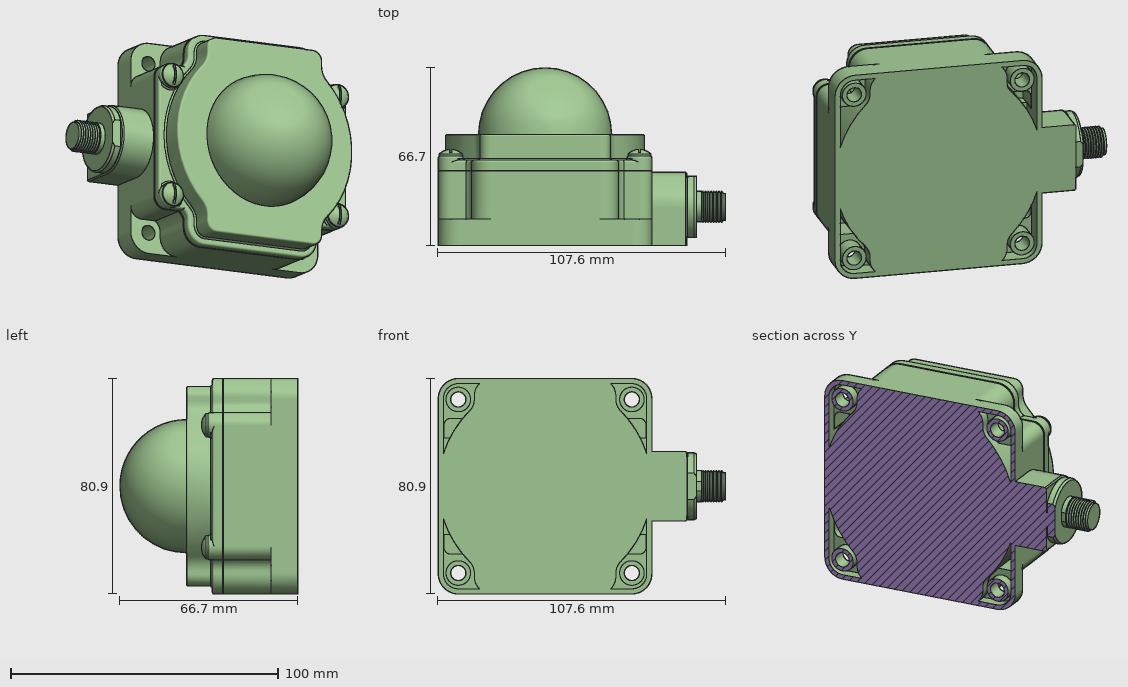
import cadquery as cq
import math

HALF_X = 40.05
HALF_Z = 40.425

FLANGE_DEPTH = 10.0
MOUNT_PITCH = 65.0
MOUNT_HOLE_R = 2.8
MOUNT_BOSS_R = 4.6
MOUNT_BOSS_RECESS = 0.5
FLANGE_CORNER_R = 7.7
RIM = 2.0
POCKET_FLOOR_Y = 8.0
POCKET_WEB_GAP = 6.0
POCKET_END_R = 6.5
EAR_POCKET_Y = 20.0
EAR_POCKET_R = 2.5
EAR_POCKET_END_Z = 18.1
SIDE_POCKET_Y = 15.0

BLOCK_HALF_X = 27.5
BLOCK_CORNER_R = 7.0
NECK_R = 4.6
EAR_HALF_Z = 27.6
EAR_R = 4.7
SEAM_Y = 27.9
SEAM_WIDTH = 0.25
SEAM_DEPTH = 0.3
LID_TOP_Y = 32.05
LID_EDGE_R = 0.9

COVER_INSET = 3.05
COVER_TOP_Y = 41.65
COVER_EDGE_R = 0.7
FOOT_SIZE = 0.65
DOME_R = 25.0

SCREW_SEAT_Y = 33.65
SCREW_SHANK_R = 2.0
SCREW_RIM_Y = 34.3
SCREW_HEAD_R = 4.4
SCREW_TOP_Y = 36.1
SLOT_WIDTH = 0.9
SLOT_DEPTH = 1.2

OUTLET_END_X = 53.1
OUTLET_R = 13.05
OUTLET_AXIS_Y = 14.55
OUTLET_CHAMFER = 0.5
GASKET_R = 11.0
NUT_START_X = 53.35
NUT_END_X = 56.75
NUT_R = 12.6
NUT_FLATS = 23.1
NUT_CHAMFER_LENGTH = 1.0
NUT_CHAMFER_DROP = 0.5
STEM_R = 5.9
KEY_HALF_WIDTH = 1.8
THREAD_START_X = 58.6
THREAD_END_X = 66.6
THREAD_R = 5.9
THREAD_PITCH = 1.0
THREAD_DEPTH = 0.55
TIP_R = 5.1
TIP_LENGTH = 0.94

DIAGONAL = math.sqrt(0.5)
FLARE_MID = math.pi / 8
MOUNT = MOUNT_PITCH / 2
POCKET_ROUND_R = MOUNT / DIAGONAL - POCKET_WEB_GAP
TIP_END_X = THREAD_END_X + TIP_LENGTH
FOOT_BEVEL = 0.99 * FOOT_SIZE
SCREW_X = HALF_X - EAR_R
SCREW_Z = EAR_HALF_Z - EAR_R


def plane_at(y):
    """XZ sketch plane at depth y; extruding by a negative length goes toward +Y."""
    return cq.Workplane(cq.Plane(origin=(0, y, 0), xDir=(1, 0, 0), normal=(0, -1, 0)))


def block(y0, y1, half_x, half_z, corner_r):
    """Rounded rectangular block between two depths."""
    body = plane_at(y0).rect(2 * half_x, 2 * half_z).extrude(y0 - y1)
    return body.edges("|Y").fillet(corner_r)


def disc(y0, y1, x, z, radius):
    """Round bar along Y."""
    return plane_at(y0).center(x, z).circle(radius).extrude(y0 - y1)


def four_fold(body):
    """The body together with its mirror images in the YZ and XY planes."""
    half = body.union(body.mirror("YZ"))
    return half.union(half.mirror("XY"))


def core(y0, y1, inset=0.0):
    """Round housing with a straight-sided block above and below, offset inward by inset."""
    round_r = HALF_Z - inset
    side_x = BLOCK_HALF_X - inset
    corner_r = BLOCK_CORNER_R - inset
    corner_x = side_x - corner_r
    corner_z = round_r - corner_r
    neck_r = NECK_R + inset
    neck_x = side_x + neck_r
    neck_z = math.sqrt((round_r + neck_r) ** 2 - neck_x ** 2)
    meet_angle = math.atan2(neck_z, neck_x)
    neck_mid = math.pi + meet_angle / 2
    quarter = (
        plane_at(y0)
        .lineTo(0, round_r)
        .lineTo(corner_x, round_r)
        .threePointArc((corner_x + corner_r * DIAGONAL, corner_z + corner_r * DIAGONAL), (side_x, corner_z))
        .lineTo(side_x, neck_z)
        .threePointArc(
            (neck_x + neck_r * math.cos(neck_mid), neck_z + neck_r * math.sin(neck_mid)),
            (round_r * math.cos(meet_angle), round_r * math.sin(meet_angle)),
        )
        .threePointArc(
            (round_r * math.cos(meet_angle / 2), round_r * math.sin(meet_angle / 2)),
            (round_r, 0),
        )
        .close()
        .extrude(y0 - y1)
    )
    return four_fold(quarter)


def housing(y0, y1, inset=0.0):
    """Core trimmed to the flange width, with the screw ears added."""
    limit = plane_at(y0).rect(2 * (HALF_X - inset), 2 * HALF_Z).extrude(y0 - y1)
    ears = block(y0, y1, HALF_X - inset, EAR_HALF_Z - inset, EAR_R - inset)
    return core(y0, y1, inset).intersect(limit).union(ears).clean()


def corner_pocket():
    """Pocket behind one flange corner, with the mounting boss left standing."""
    wall_x = HALF_X - RIM
    wall_z = HALF_Z - RIM
    web_x = MOUNT - POCKET_WEB_GAP

    def pocket_area(depth):
        square = plane_at(0).rect(wall_x, wall_z, centered=False).extrude(-depth)
        square = square.edges("|Y and >X and >Z").fillet(wall_x - MOUNT)
        middle = disc(0, depth, 0, 0, POCKET_ROUND_R)
        flare = (
            plane_at(0)
            .moveTo(web_x, MOUNT)
            .lineTo(web_x, wall_z - POCKET_END_R * DIAGONAL)
            .threePointArc(
                (web_x - POCKET_END_R * (1 - math.cos(FLARE_MID)),
                 wall_z - POCKET_END_R * (DIAGONAL - math.sin(FLARE_MID))),
                (web_x - POCKET_END_R * (1 - DIAGONAL), wall_z),
            )
            .lineTo(MOUNT, wall_z)
            .lineTo(MOUNT, MOUNT)
            .close()
            .extrude(-depth)
        )
        around_boss = disc(0, depth, MOUNT, MOUNT, POCKET_WEB_GAP)
        tangent_x = MOUNT - POCKET_WEB_GAP * DIAGONAL
        beyond_web = plane_at(0).center(tangent_x, 0).rect(wall_x, wall_z, centered=False).extrude(-depth)
        main_area = square.cut(middle).intersect(beyond_web)
        return main_area.union(square.intersect(flare.union(around_boss)))

    boss = disc(MOUNT_BOSS_RECESS, POCKET_FLOOR_Y, MOUNT, MOUNT, MOUNT_BOSS_R)
    shallow = pocket_area(POCKET_FLOOR_Y).cut(boss)
    ear_top = SCREW_Z + EAR_POCKET_R
    ear_zone = block(0, EAR_POCKET_Y, SCREW_X + EAR_POCKET_R, ear_top, EAR_POCKET_R)
    side_zone = plane_at(0).rect(2 * HALF_X, 2 * EAR_POCKET_END_Z).extrude(-SIDE_POCKET_Y)
    end_zone = plane_at(0).rect(2 * HALF_X, 2 * EAR_POCKET_END_Z).extrude(-EAR_POCKET_Y)
    ear = pocket_area(EAR_POCKET_Y).intersect(ear_zone).cut(end_zone)
    side = pocket_area(SIDE_POCKET_Y).intersect(side_zone)
    return shallow.union(ear).union(side)


def corner_places(x, z):
    """The four mirrored places of a corner feature."""
    return [(sx * x, sz * z) for sx in (1, -1) for sz in (1, -1)]


def screw_seat(x, z):
    """Round seat with a rounded top edge and a bevelled foot kept within the flat top of the lid."""
    seat = disc(SEAM_Y + SEAM_WIDTH, SCREW_SEAT_Y, x, z, EAR_R).faces(">Y").edges().fillet(LID_EDGE_R)
    foot = disc(LID_TOP_Y, LID_TOP_Y + FOOT_SIZE, x, z, EAR_R + FOOT_SIZE)
    foot = foot.faces(">Y").edges().chamfer(FOOT_BEVEL)
    flat_top = housing(LID_TOP_Y, LID_TOP_Y + FOOT_SIZE, LID_EDGE_R)
    return seat.union(foot.intersect(flat_top))


def lid_screw(x, z):
    """Slotted, domed screw head standing on its seat."""
    rise = SCREW_TOP_Y - SCREW_RIM_Y
    sphere_r = (SCREW_HEAD_R ** 2 + rise ** 2) / (2 * rise)
    mid_angle = math.asin(SCREW_HEAD_R / sphere_r) / 2
    mid = (sphere_r * math.sin(mid_angle), SCREW_TOP_Y - sphere_r * (1 - math.cos(mid_angle)))
    head = (
        cq.Workplane("XY")
        .moveTo(0, LID_TOP_Y)
        .lineTo(SCREW_SHANK_R, LID_TOP_Y)
        .lineTo(SCREW_SHANK_R, SCREW_SEAT_Y)
        .lineTo(SCREW_HEAD_R, SCREW_SEAT_Y)
        .lineTo(SCREW_HEAD_R, SCREW_RIM_Y)
        .threePointArc(mid, (0, SCREW_TOP_Y))
        .close()
        .revolve(360, (0, 0, 0), (0, 1, 0))
    )
    slot = cq.Workplane("XY").box(SLOT_WIDTH, 2 * SLOT_DEPTH, 2 * EAR_R)
    return head.cut(slot.translate((0, SCREW_TOP_Y, 0))).translate((x, 0, z))


def lid_and_cover():
    """Lid with rounded edge, front cover and dome."""
    lid = housing(SEAM_Y + SEAM_WIDTH, LID_TOP_Y).faces(">Y").edges().fillet(LID_EDGE_R)
    cover = core(LID_TOP_Y, COVER_TOP_Y, COVER_INSET).faces(">Y").edges().fillet(COVER_EDGE_R)
    foot = core(LID_TOP_Y, LID_TOP_Y + FOOT_SIZE, COVER_INSET - FOOT_SIZE)
    foot = foot.faces(">Y").edges().chamfer(FOOT_BEVEL)
    dome = (
        cq.Workplane("YZ")
        .moveTo(COVER_TOP_Y, DOME_R)
        .threePointArc((COVER_TOP_Y + DOME_R * DIAGONAL, DOME_R * DIAGONAL), (COVER_TOP_Y + DOME_R, 0))
        .lineTo(COVER_TOP_Y - COVER_EDGE_R, 0)
        .lineTo(COVER_TOP_Y - COVER_EDGE_R, DOME_R)
        .close()
        .revolve(360, (0, 0, 0), (1, 0, 0))
    )
    return lid.union(foot).union(cover).union(dome)


def cable_outlet():
    """Arched block carrying the connector, chamfered along its outer end."""
    outlet = (
        cq.Workplane("YZ")
        .moveTo(0, -OUTLET_R)
        .lineTo(OUTLET_AXIS_Y, -OUTLET_R)
        .threePointArc((OUTLET_AXIS_Y + OUTLET_R, 0), (OUTLET_AXIS_Y, OUTLET_R))
        .lineTo(0, OUTLET_R)
        .close()
        .extrude(OUTLET_END_X)
    )
    return outlet.faces(">X").edges("not <Y").chamfer(OUTLET_CHAMFER)


def connector_bar(x0, x1, radius):
    """Round bar along X on the connector axis."""
    return cq.Workplane("YZ", origin=(x0, OUTLET_AXIS_Y, 0)).circle(radius).extrude(x1 - x0)


def connector():
    """Nut with two flats, keyed stem, threaded plug and plain tip."""
    gasket = connector_bar(OUTLET_END_X - OUTLET_CHAMFER, NUT_START_X, GASKET_R)
    nut = connector_bar(NUT_START_X, NUT_END_X, NUT_R)
    nut = nut.faces(">X").edges().chamfer(NUT_CHAMFER_LENGTH, NUT_CHAMFER_DROP)
    flats = cq.Workplane("XY").box(2 * NUT_END_X, NUT_FLATS, 2 * NUT_R)
    nut = nut.intersect(flats.translate((NUT_END_X, OUTLET_AXIS_Y, 0)))
    stem = connector_bar(NUT_END_X, THREAD_START_X, STEM_R)
    key_depth = math.sqrt(STEM_R ** 2 - KEY_HALF_WIDTH ** 2)
    keyed = cq.Workplane("XY").box(2 * TIP_END_X, 2 * STEM_R, 2 * STEM_R)
    stem = stem.intersect(keyed.translate((0, OUTLET_AXIS_Y + STEM_R - key_depth, 0)))
    return gasket.union(nut).union(stem).union(thread())


def thread():
    """Thread shown as a row of V-shaped ridges, ending in the plain tip."""
    root_r = THREAD_R - THREAD_DEPTH
    outline = cq.Workplane("XY").moveTo(THREAD_START_X, 0).lineTo(THREAD_START_X, root_r)
    for turn in range(round((THREAD_END_X - THREAD_START_X) / THREAD_PITCH)):
        x = THREAD_START_X + turn * THREAD_PITCH
        outline = outline.lineTo(x + THREAD_PITCH / 2, THREAD_R).lineTo(x + THREAD_PITCH, root_r)
    outline = outline.lineTo(THREAD_END_X, TIP_R).lineTo(TIP_END_X, TIP_R).lineTo(TIP_END_X, 0)
    bar = outline.close().revolve(360, (0, 0, 0), (1, 0, 0))
    return bar.translate((0, OUTLET_AXIS_Y, 0))


def build():
    part = block(0, FLANGE_DEPTH, HALF_X, HALF_Z, FLANGE_CORNER_R)
    part = part.union(housing(FLANGE_DEPTH, SEAM_Y))
    part = part.union(cable_outlet())
    part = part.cut(four_fold(corner_pocket()))
    for x, z in corner_places(MOUNT, MOUNT):
        part = part.cut(disc(0, FLANGE_DEPTH, x, z, MOUNT_HOLE_R))
    part = part.union(housing(SEAM_Y, SEAM_Y + SEAM_WIDTH, SEAM_DEPTH))
    part = part.union(lid_and_cover())
    for x, z in corner_places(SCREW_X, SCREW_Z):
        part = part.union(screw_seat(x, z)).union(lid_screw(x, z))
    return part.union(connector())


result = build()